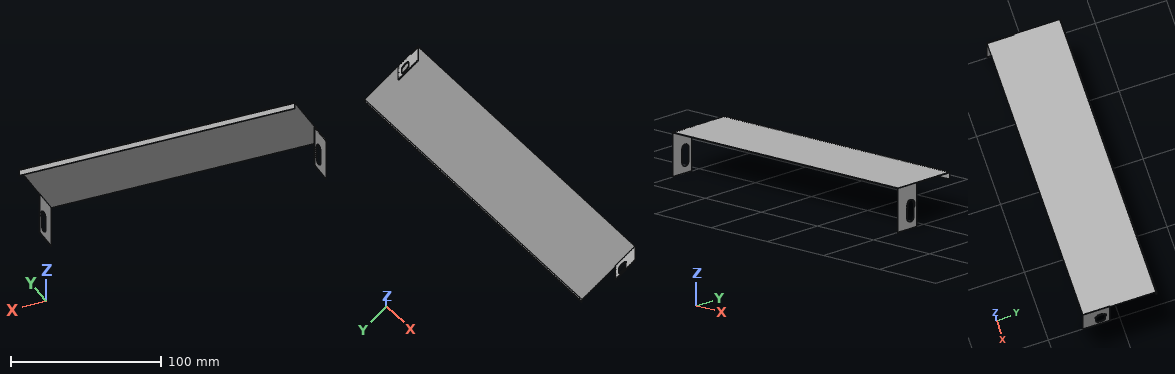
import cadquery as cq

overall_length = 201.5
width = 51.8
height = 30.8
sheet = 0.6

lip_depth = 5.0
flange_width = 19.0

slot_width = 6.7
slot_height = 15.3
slot_from_front = 12.5
slot_below_top = 18.5

collar_height = 0.5
collar_diameter = 7.9
collar_below_top = 14.5

body_length = overall_length - collar_height
slot_z = height - slot_below_top
collar_z = height - collar_below_top


def box_at(x, y, z, length, depth, tall):
    """Box with its lowest corner at (x, y, z)."""
    return cq.Workplane("XY").box(length, depth, tall, centered=False).translate((x, y, z))


plate = box_at(0, 0, height - sheet, body_length, width, sheet)
lip = box_at(0, width - sheet, height - lip_depth, body_length, sheet, lip_depth)
body = plate.union(lip)

for flange_x in (0, body_length - sheet):
    body = body.union(box_at(flange_x, 0, 0, sheet, flange_width, height))

collar = (
    cq.Workplane("YZ", origin=(body_length - sheet, slot_from_front, collar_z))
    .circle(collar_diameter / 2)
    .extrude(sheet + collar_height)
)
body = body.union(collar)

slot = (
    cq.Workplane("YZ", origin=(0, slot_from_front, slot_z))
    .slot2D(slot_height, slot_width, angle=90)
    .extrude(overall_length)
)
result = body.cut(slot)